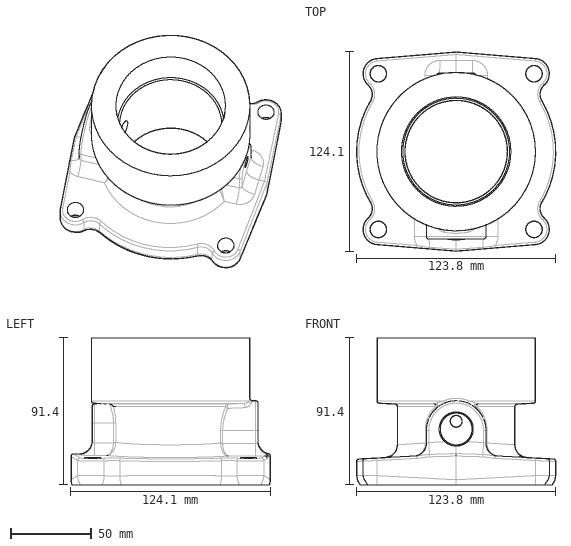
import cadquery as cq
import math

FLANGE_RADIUS = 61.9125
LOBE_OFFSET = 48.35
LOBE_RADIUS = 9.525
WAIST_RADIUS = 7.7
BOLT_HOLE_RADIUS = 5.05
RIDGE_HEIGHT = 19.5
VALLEY_HEIGHT = -6.1
ROOF_SLOPE = math.radians(3)
TOP_EDGE_RADIUS = 1.6
BOTTOM_EDGE_RADIUS = 9.5

TOTAL_HEIGHT = 91.44
HEAD_RADIUS = 49.25
HEAD_BOTTOM = 50.9
HEAD_UNDERSIDE_SLOPE = math.radians(3)
NECK_RADIUS = 36.5
FOOT_FILLET = 7.9

BORE_RADIUS = 31.75
SOCKET_TOP_RADIUS = 34.0
SOCKET_DEPTH = 26.1
PIPE_TAPER = 1 / 32

FRONT_HALF_WIDTH = 18.5
FRONT_ARC_HEIGHT = 34.0
FRONT_FACE = 54.3
FRONT_PORT_RADIUS = 10.6
FRONT_PORT_HEIGHT = 34.9
REAR_HALF_WIDTH = 12.0
REAR_ARC_HEIGHT = 38.5
REAR_FACE = 48.8
REAR_PORT_RADIUS = 3.6
REAR_PORT_HEIGHT = 39.7
BLEND_FILLET = 1.5

SLAB_HALF_SIZE = 80.0
BLANK_FLOOR = 5.0
NECK_TOP = HEAD_BOTTOM - (HEAD_RADIUS - NECK_RADIUS) * math.tan(HEAD_UNDERSIDE_SLOPE)
TOLERANCE = 0.05
SLAB_DROP = SLAB_HALF_SIZE * math.tan(ROOF_SLOPE)


def waist_points():
    """Return centre and tangent points of the waist arc in the +X+Y quadrant."""
    lobe_distance = LOBE_OFFSET * math.sqrt(2)
    to_flange = FLANGE_RADIUS + WAIST_RADIUS
    to_lobe = LOBE_RADIUS + WAIST_RADIUS
    cosine = (lobe_distance**2 + to_flange**2 - to_lobe**2) / (2 * lobe_distance * to_flange)
    angle = math.pi / 4 - math.acos(cosine)
    centre = (to_flange * math.cos(angle), to_flange * math.sin(angle))
    on_flange = (FLANGE_RADIUS * math.cos(angle), FLANGE_RADIUS * math.sin(angle))
    share = LOBE_RADIUS / to_lobe
    on_lobe = tuple(LOBE_OFFSET + share * (c - LOBE_OFFSET) for c in centre)
    return centre, on_flange, on_lobe


def arc_middle(centre, radius, start, end):
    """Return the point halfway along the shorter arc from start to end."""
    dx = (start[0] + end[0]) / 2 - centre[0]
    dy = (start[1] + end[1]) / 2 - centre[1]
    scale = radius / math.hypot(dx, dy)
    return (centre[0] + scale * dx, centre[1] + scale * dy)


def flange_outline():
    """One quarter of the flange: side arc, waist, bolt lobe and sloping front edge."""
    waist, on_flange, on_lobe = waist_points()
    apex = (0, FLANGE_RADIUS)
    apex_distance = math.hypot(LOBE_OFFSET, FLANGE_RADIUS - LOBE_OFFSET)
    apex_bearing = math.atan2(FLANGE_RADIUS - LOBE_OFFSET, -LOBE_OFFSET)
    touch = apex_bearing - math.acos(LOBE_RADIUS / apex_distance)
    on_edge = (LOBE_OFFSET + LOBE_RADIUS * math.cos(touch), LOBE_OFFSET + LOBE_RADIUS * math.sin(touch))
    waist_mid = arc_middle(waist, WAIST_RADIUS, on_flange, on_lobe)
    far = LOBE_RADIUS / math.sqrt(2)
    lobe_mid = (LOBE_OFFSET + far, LOBE_OFFSET + far)
    return (
        cq.Workplane("XY")
        .moveTo(0, 0)
        .lineTo(FLANGE_RADIUS, 0)
        .threePointArc(arc_middle((0, 0), FLANGE_RADIUS, (FLANGE_RADIUS, 0), on_flange), on_flange)
        .threePointArc(waist_mid, on_lobe)
        .threePointArc(lobe_mid, on_edge)
        .lineTo(*apex)
        .close()
    )


def flange_prism(bottom, top):
    quarter = flange_outline().extrude(top - bottom).translate((0, 0, bottom))
    half = quarter.union(quarter.mirror("YZ"))
    return half.union(half.mirror("XZ")).clean()


def roof_slab():
    profile = [
        (0, RIDGE_HEIGHT),
        (SLAB_HALF_SIZE, RIDGE_HEIGHT - SLAB_DROP),
        (SLAB_HALF_SIZE, VALLEY_HEIGHT + SLAB_DROP),
        (0, VALLEY_HEIGHT),
        (-SLAB_HALF_SIZE, VALLEY_HEIGHT + SLAB_DROP),
        (-SLAB_HALF_SIZE, RIDGE_HEIGHT - SLAB_DROP),
    ]
    return cq.Workplane("XZ").polyline(profile).close().extrude(SLAB_HALF_SIZE, both=True)


def boss(half_width, arc_height, face, side):
    """Round-topped block from the Z axis to the face on the given side (-1 is -Y, +1 is +Y)."""
    block = (
        cq.Workplane("XZ")
        .moveTo(-half_width, BLANK_FLOOR)
        .lineTo(-half_width, arc_height)
        .threePointArc((0, arc_height + half_width), (half_width, arc_height))
        .lineTo(half_width, BLANK_FLOOR)
        .close()
        .extrude(-side * face)
    )
    outer_face = "<Y" if side < 0 else ">Y"
    return block.faces(outer_face).edges("not <Z").fillet(BLEND_FILLET)


def neck_and_head():
    profile = [
        (0, BLANK_FLOOR),
        (NECK_RADIUS, BLANK_FLOOR),
        (NECK_RADIUS, NECK_TOP),
        (HEAD_RADIUS, HEAD_BOTTOM),
        (HEAD_RADIUS, TOTAL_HEIGHT),
        (0, TOTAL_HEIGHT),
    ]
    return cq.Workplane("XZ").polyline(profile).close().revolve(360)


def fillet_where(body, wanted, radius):
    edges = [edge for edge in body.edges().vals() if wanted(edge)]
    return body.newObject(edges).fillet(radius)


def is_foot_edge(edge):
    """Edges where the neck and bosses meet the plate top."""
    box = edge.BoundingBox()
    on_top = box.zmin > RIDGE_HEIGHT - SLAB_DROP and box.zmax < RIDGE_HEIGHT + TOLERANCE
    reach = max(-box.xmin, box.xmax, -box.ymin, box.ymax)
    return on_top and reach < FLANGE_RADIUS


def is_joint_edge(edge):
    """Edges between neck, bosses and head, and the lower rim of the head."""
    start, end, middle = edge.startPoint(), edge.endPoint(), edge.Center()
    for point in (start, end):
        radius = math.hypot(point.x, point.y)
        if min(abs(radius - NECK_RADIUS), abs(radius - HEAD_RADIUS)) > TOLERANCE:
            return False
    above_foot = middle.z > RIDGE_HEIGHT + FOOT_FILLET
    below_top = max(start.z, end.z) < FRONT_ARC_HEIGHT + FRONT_HALF_WIDTH + TOLERANCE
    is_seam = edge.geomType() == "LINE" and abs(middle.y) < TOLERANCE
    over_rear_boss = middle.y > NECK_RADIUS
    return above_foot and below_top and not is_seam and not over_rear_boss


def plate_rim(body, top):
    """Upper or lower boundary edges of the plate's vertical sides."""
    edges = []
    for face in body.faces().vals():
        box = face.BoundingBox()
        is_side = box.zmin < 0 and RIDGE_HEIGHT - SLAB_DROP < box.zmax < RIDGE_HEIGHT + TOLERANCE
        if not is_side or abs(face.normalAt().z) > TOLERANCE:
            continue
        for edge in face.Edges():
            edge_box = edge.BoundingBox()
            is_level = edge_box.zmax - edge_box.zmin < box.zlen / 2
            if is_level and (edge.Center().z > box.center.z) == top:
                edges.append(edge)
    return body.newObject(edges)


def cast_body():
    body = (
        roof_slab()
        .union(boss(FRONT_HALF_WIDTH, FRONT_ARC_HEIGHT, FRONT_FACE, -1))
        .union(boss(REAR_HALF_WIDTH, REAR_ARC_HEIGHT, REAR_FACE, 1))
        .union(neck_and_head())
    )
    body = fillet_where(body, is_foot_edge, FOOT_FILLET)
    body = fillet_where(body, is_joint_edge, BLEND_FILLET)
    body = body.intersect(flange_prism(-TOTAL_HEIGHT, 2 * TOTAL_HEIGHT))
    body = plate_rim(body, top=True).fillet(TOP_EDGE_RADIUS)
    body = plate_rim(body, top=False).fillet(BOTTOM_EDGE_RADIUS)
    below_base = cq.Workplane("XY").rect(2 * SLAB_HALF_SIZE, 2 * SLAB_HALF_SIZE).extrude(-TOTAL_HEIGHT)
    return body.cut(below_base)


def main_bore():
    shelf = TOTAL_HEIGHT - SOCKET_DEPTH
    profile = [
        (0, 0),
        (BORE_RADIUS, 0),
        (BORE_RADIUS, shelf),
        (SOCKET_TOP_RADIUS - SOCKET_DEPTH * PIPE_TAPER, shelf),
        (SOCKET_TOP_RADIUS, TOTAL_HEIGHT),
        (0, TOTAL_HEIGHT),
    ]
    return cq.Workplane("XZ").polyline(profile).close().revolve(360)


def front_port():
    """Tapered hole from the Z axis out past the boss face and its foot fillet."""
    mouth = cq.Vector(0, -FLANGE_RADIUS, FRONT_PORT_HEIGHT)
    mouth_radius = FRONT_PORT_RADIUS + (FLANGE_RADIUS - FRONT_FACE) * PIPE_TAPER
    tip_radius = FRONT_PORT_RADIUS - FRONT_FACE * PIPE_TAPER
    inward = cq.Vector(0, 1, 0)
    cone = cq.Solid.makeCone(mouth_radius, tip_radius, FLANGE_RADIUS, mouth, inward)
    return cq.Workplane("XY").add(cone)


def rear_port():
    return (
        cq.Workplane("XZ")
        .center(0, REAR_PORT_HEIGHT)
        .circle(REAR_PORT_RADIUS)
        .extrude(-FLANGE_RADIUS)
    )


def bolt_holes():
    spacing = 2 * LOBE_OFFSET
    return (
        cq.Workplane("XY")
        .rect(spacing, spacing, forConstruction=True)
        .vertices()
        .circle(BOLT_HOLE_RADIUS)
        .extrude(RIDGE_HEIGHT)
    )


result = cast_body().cut(main_bore()).cut(front_port()).cut(rear_port()).cut(bolt_holes())